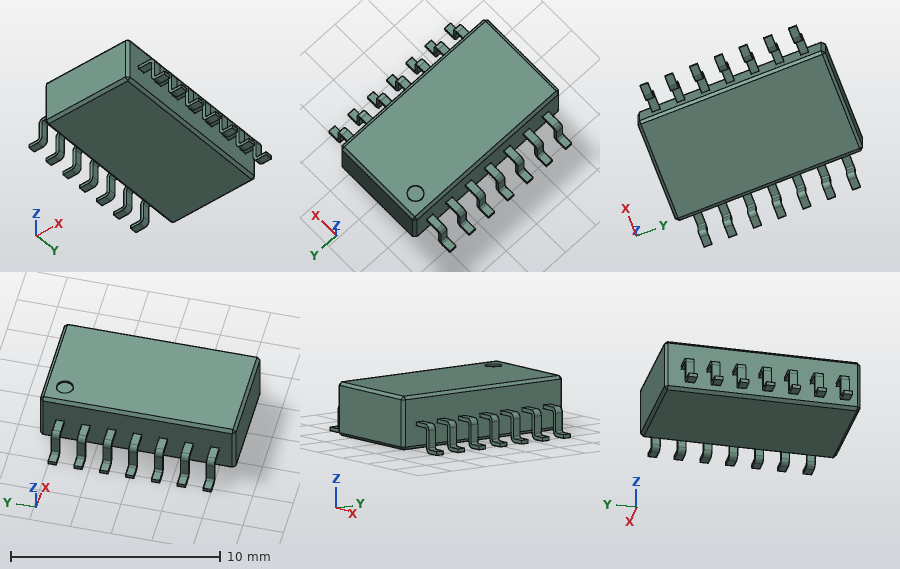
import cadquery as cq

housing_length = 9.62
housing_width = 5.21
overall_height = 2.7
standoff = 0.1
edge_chamfer = 0.15
housing_height = overall_height - standoff

lead_count = 7
lead_pitch = 1.27
lead_span = 8.42
lead_width = 0.4
lead_thickness = 0.18
shoulder_top = 1.4
foot_length = 0.63
inner_bend_radius = 0.1
outer_bend_radius = inner_bend_radius + lead_thickness

marker_diameter = 0.8
marker_inset = 1.0
marker_thickness = 0.1
marker_sink = 0.1
marker_x = marker_inset - housing_width / 2
marker_y = housing_length / 2 - marker_inset
marker_bottom = overall_height - marker_sink - marker_thickness


def make_half_lead():
    """The +X half of a lead, from the middle plane of the housing to the foot tip."""
    tip = lead_span / 2
    leg_outer = tip - foot_length
    leg_inner = leg_outer - lead_thickness
    upper_bend_x = leg_outer - outer_bend_radius
    lower_bend_x = leg_outer + inner_bend_radius
    upper_bend_z = shoulder_top - outer_bend_radius
    lower_bend_z = outer_bend_radius
    return (
        cq.Workplane("XZ")
        .moveTo(0, shoulder_top)
        .lineTo(upper_bend_x, shoulder_top)
        .tangentArcPoint((leg_outer, upper_bend_z), relative=False)
        .lineTo(leg_outer, lower_bend_z)
        .tangentArcPoint((lower_bend_x, lead_thickness), relative=False)
        .lineTo(tip, lead_thickness)
        .lineTo(tip, 0)
        .lineTo(lower_bend_x, 0)
        .tangentArcPoint((leg_inner, lower_bend_z), relative=False)
        .lineTo(leg_inner, upper_bend_z)
        .tangentArcPoint((upper_bend_x, shoulder_top - lead_thickness), relative=False)
        .lineTo(0, shoulder_top - lead_thickness)
        .close()
        .extrude(lead_width / 2, both=True)
    )


def make_lead(y):
    """One continuous lead, the same on both sides of the housing."""
    half = make_half_lead()
    return half.union(half.mirror("YZ")).clean().translate((0, y, 0))


def make_marker_cylinder(bottom, height):
    """A cylinder on the marker axis."""
    return (
        cq.Workplane("XY", origin=(marker_x, marker_y, bottom))
        .circle(marker_diameter / 2)
        .extrude(height)
    )


def make_housing(leads):
    """The chamfered block with the marker recess and a matching slot for each lead."""
    block = (
        cq.Workplane("XY", origin=(0, 0, standoff))
        .box(housing_width, housing_length, housing_height, centered=(True, True, False))
        .edges()
        .chamfer(edge_chamfer)
    )
    block = block.cut(make_marker_cylinder(marker_bottom, overall_height - marker_bottom))
    for lead in leads:
        block = block.cut(lead)
    return block


lead_positions = [(i - (lead_count - 1) / 2) * lead_pitch for i in range(lead_count)]

leads = [make_lead(y) for y in lead_positions]
marker = make_marker_cylinder(marker_bottom, marker_thickness)
housing = make_housing(leads)

result = cq.Compound.makeCompound([housing.val(), marker.val(), *[lead.val() for lead in leads]])